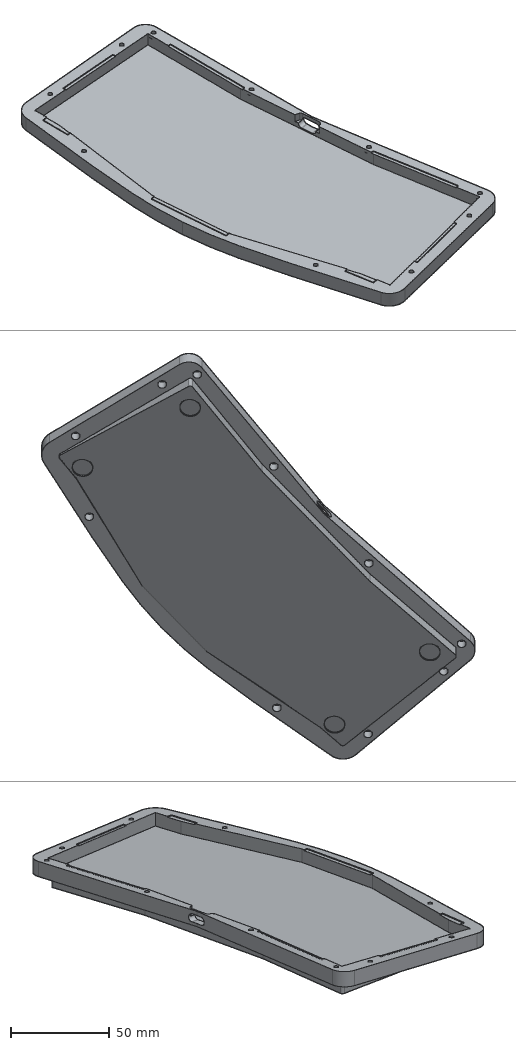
import cadquery as cq
import math


total_height = 16.0
rim_height = 8.3
back_notch_y = 107.5
back_corner = (-115.2, 116.52)
front_corner = (-122.88, 19.0)
front_bend = (-56.2, 6.0)
front_corner_slope = 0.21
back_corner_radius = 8.0
front_corner_radius = 9.5

floor_thickness = 1.0
cavity_tilt = math.tan(math.radians(5))
cavity_back_corner = (-107.0, 109.0)
cavity_back_bend_x = -43.0
cavity_front_corner = (-114.7, 25.0)
cavity_front_bend_x = -97.5
cavity_front_end = (-25.7, 7.5)


def tilted_edge(corner, x):
    """Return the point at x on the tilted cavity edge that leaves the given corner."""
    return (x, corner[1] - cavity_tilt * (x - corner[0]))


cavity_back_bend = tilted_edge(cavity_back_corner, cavity_back_bend_x)
cavity_front_bend = tilted_edge(cavity_front_corner, cavity_front_bend_x)
cavity_back_y = cavity_back_bend[1]

wedge_inset = 1.0
wedge_depth = total_height - rim_height
wedge_corner_radius = 1.5
wedge_start_y = cavity_front_end[1] + wedge_inset
wedge_end_y = cavity_back_corner[1] - wedge_inset

foot_diameter = 10.5
foot_depth = 1.0
foot_centers = [(-100.5, 31.3), (-95.5, 98.8)]

screw_diameter = 2.4
head_diameter = 4.5
head_seat_z = 5.9
screw_centers = [(-105.5, 111.5), (-112.2, 94.0), (-116.6, 40.0), (-74.8, 14.5), (-38.0, 106.1)]

ledge_depth = 0.5
ledge_width = 1.7
back_ledge_x = (-93.0, -41.5)
side_ledge_y = (48.0, 84.9)
front_ledge_x = (-106.5, -89.5)
front_ledge_width = 3.0
middle_ledge_half_length = 24.2
middle_ledge_width = 2.5

port_diameter = 4.5
port_width = 11.2
port_z = 4.0
port_wall = 1.0
bay_front_width = 15.7
bay_back_width = 12.7
bay_radius = 1.5


def mirrored(points):
    """Return the points together with their mirror images across the YZ plane."""
    return points + [(-x, y) for x, y in reversed(points)]


def prism(points, bottom, top):
    """Extrude a closed polygon between two heights."""
    return cq.Workplane("XY").workplane(offset=bottom).polyline(points).close().extrude(top - bottom)


def with_mirror(solid):
    """Join a solid with its mirror image across the YZ plane."""
    return solid.union(solid.mirror("YZ"))


def make_rim():
    """Full plate: straight back and sides, smoothly curved front, rounded corners."""
    half = (
        cq.Workplane("XY")
        .moveTo(0, back_notch_y)
        .lineTo(*back_corner)
        .lineTo(*front_corner)
        .spline(
            [front_bend, (0, 0)],
            tangents=[(1, -front_corner_slope), (1, 0)],
            includeCurrent=True,
        )
        .close()
        .extrude(rim_height)
        .edges("|Z and <X")
        .fillet(front_corner_radius)
        .edges("|Z and >Y")
        .fillet(back_corner_radius)
    )
    return with_mirror(half)


def cavity_outline():
    return mirrored([
        cavity_back_bend,
        cavity_back_corner,
        cavity_front_corner,
        cavity_front_bend,
        cavity_front_end,
    ])


def make_wedge():
    """Cavity outline set inward, cut to a wedge that deepens toward the back."""
    block = (
        cq.Workplane("XY")
        .polyline(cavity_outline())
        .close()
        .offset2D(-wedge_inset, "intersection")
        .extrude(-wedge_depth)
        .edges("|Z and (<X or >X or >Y)")
        .fillet(wedge_corner_radius)
    )
    profile = [(wedge_start_y, 0), (wedge_end_y, 0), (wedge_end_y, -wedge_depth)]
    slope = cq.Workplane("YZ").polyline(profile).close().extrude(back_corner[0], both=True)
    return block.intersect(slope)


def make_foot_recesses():
    """Round recesses square to the sloped underside."""
    slope_angle = math.degrees(math.atan2(wedge_depth, wedge_end_y - wedge_start_y))
    underside = cq.Workplane("XY", origin=(0, wedge_start_y, 0)).transformed(rotate=(-slope_angle, 0, 0))
    centers = [(x, y - wedge_start_y) for x, y in foot_centers]
    return underside.pushPoints(mirrored(centers)).circle(foot_diameter / 2).extrude(foot_depth)


def make_screw_holes():
    """Through holes with counterbores for the screw heads on the rim underside."""
    centers = cq.Workplane("XY").pushPoints(mirrored(screw_centers))
    shafts = centers.circle(screw_diameter / 2).extrude(rim_height)
    heads = centers.circle(head_diameter / 2).extrude(head_seat_z)
    return shafts.union(heads)


def side_edge(y):
    """Return the point at y on the left side edge of the cavity."""
    (back_x, back_y), (front_x, front_y) = cavity_back_corner, cavity_front_corner
    return (back_x + (front_x - back_x) * (back_y - y) / (back_y - front_y), y)


def make_ledges():
    bottom = rim_height - ledge_depth

    def strip(start, end, inward, outward):
        """Ledge between two points, reaching from inside the cavity into the rim."""
        points = [
            (start[0] + inward[0], start[1] + inward[1]),
            (end[0] + inward[0], end[1] + inward[1]),
            (end[0] + outward[0], end[1] + outward[1]),
            (start[0] + outward[0], start[1] + outward[1]),
        ]
        return prism(points, bottom, rim_height)

    back_ends = [tilted_edge(cavity_back_corner, x) for x in back_ledge_x]
    side_ends = [side_edge(y) for y in side_ledge_y]
    front_ends = [tilted_edge(cavity_front_corner, x) for x in front_ledge_x]
    middle_ends = [(x, cavity_front_end[1]) for x in (-middle_ledge_half_length, 0)]

    ledges = strip(*back_ends, (0, -ledge_width), (0, ledge_width))
    ledges = ledges.union(strip(*side_ends, (ledge_width, 0), (-ledge_width, 0)))
    ledges = ledges.union(strip(*front_ends, (0, ledge_width), (0, -front_ledge_width)))
    ledges = ledges.union(strip(*middle_ends, (0, ledge_width), (0, -middle_ledge_width)))
    return with_mirror(ledges)


def make_port():
    bay_back_y = back_notch_y - port_wall
    bay = prism(
        mirrored([(-bay_back_width / 2, bay_back_y), (-bay_front_width / 2, cavity_back_y)]),
        port_z,
        rim_height,
    )
    bay = bay.edges("|Z and >Y").fillet(bay_radius)
    slot = (
        cq.Workplane("XZ", origin=(0, back_corner[1], port_z))
        .slot2D(port_width, port_diameter)
        .extrude(back_corner[1] - cavity_back_y)
    )
    return bay.union(slot)


cavity = prism(cavity_outline(), floor_thickness, rim_height)

result = (
    make_rim()
    .union(make_wedge())
    .cut(cavity)
    .cut(make_ledges())
    .cut(make_screw_holes())
    .cut(make_foot_recesses())
    .cut(make_port())
)